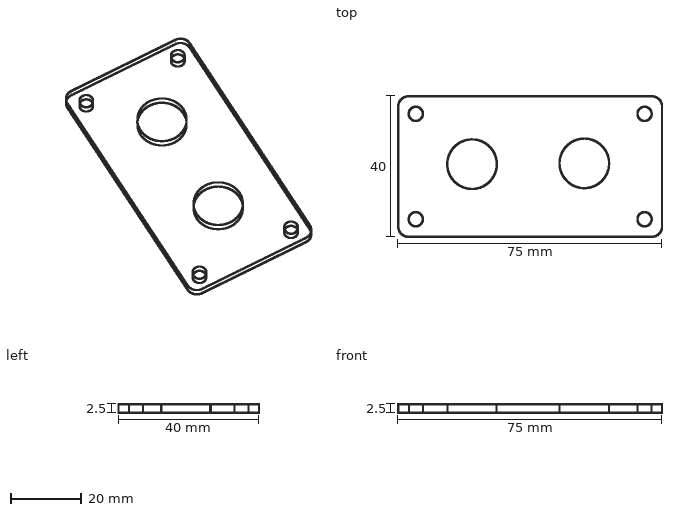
import cadquery as cq

length = 75.0
width = 40.0
thickness = 2.5
corner_radius = 3.0

mount_diameter = 4.0
mount_edge_distance = 5.0
mount_spacing_x = length - 2 * mount_edge_distance
mount_spacing_y = width - 2 * mount_edge_distance

opening_diameter = 14.0
opening_centers = [(-16.5, 0.7), (15.4, 0.9)]

plate = (
    cq.Workplane("XY")
    .rect(length, width)
    .extrude(thickness)
    .edges("|Z")
    .fillet(corner_radius)
)

mount_holes = (
    cq.Workplane("XY")
    .rect(mount_spacing_x, mount_spacing_y, forConstruction=True)
    .vertices()
    .circle(mount_diameter / 2)
    .extrude(thickness)
)

openings = (
    cq.Workplane("XY")
    .pushPoints(opening_centers)
    .circle(opening_diameter / 2)
    .extrude(thickness)
)

result = plate.cut(mount_holes).cut(openings)